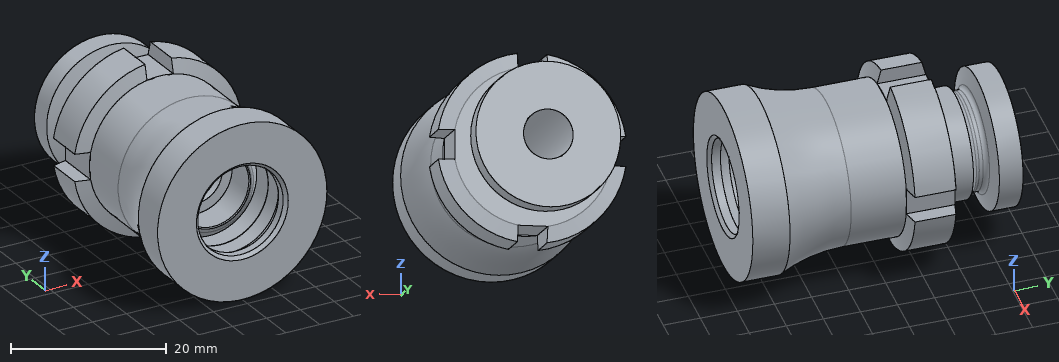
import cadquery as cq
import math

TOTAL_LENGTH = 37.43

BARREL_RADIUS = 12.5
BARREL_LENGTH = 5.0
SLEEVE_RADIUS = 10.45
FLARE_END = 13.92

COLLAR_RADIUS = 12.45
COLLAR_FRONT = 21.4
COLLAR_BACK = 28.0
COLLAR_CHAMFER_LENGTH = 0.52
SLOT_COUNT = 4
SLOT_WIDTH = 3.9
SLOT_FLOOR = 10.25

THROAT_RADIUS = 6.3
MOUTH_CHAMFER = 0.5
THROAT_END = 1.7
RELIEF_FRONT = 3.05
RELIEF_BACK = 5.65
RELIEF_RADIUS = 7.05
SOCKET_RADIUS = 7.0

FLANGE_RADIUS = 9.5
FLANGE_THICKNESS = 3.22
NECK_RADIUS = 7.5
NECK_BACK = 31.35
WAIST_RADIUS = 6.65
WAIST_FRONT = 32.4
WAIST_BACK = 32.95
FLANGE_TAPER_ANGLE = 15.0
WAIST_BACK_FILLET = 0.7
WAIST_FRONT_FILLET = 0.65
NECK_CONE_ANGLE = 45.0

NOSE_FRONT = 7.4
NOSE_CONE_ANGLE = 45.0
NOSE_FILLET = 0.55
NOSE_RIM_RADIUS = 5.55
NOSE_BORE_RADIUS = 5.25
NOSE_BORE_CHAMFER = 0.15
NOSE_BORE_DEPTH = 4.5
THROUGH_RADIUS = 3.25
THROUGH_CHAMFER = 0.52


def turn(outline):
    """Close a (radius, Y) outline and turn it about the Y axis."""
    return outline.close().revolve(360, (0, 0, 0), (0, 1, 0))


def turned_sleeve():
    flare_length = FLARE_END - BARREL_LENGTH
    flare_rise = BARREL_RADIUS - SLEEVE_RADIUS
    flare_radius = (flare_length**2 + flare_rise**2) / (2 * flare_rise)
    half_sweep = math.asin(flare_length / flare_radius) / 2
    flare_middle = (
        SLEEVE_RADIUS + flare_radius * (1 - math.cos(half_sweep)),
        FLARE_END - flare_radius * math.sin(half_sweep),
    )
    outline = (
        cq.Workplane("XY")
        .moveTo(THROAT_RADIUS + MOUTH_CHAMFER, 0)
        .lineTo(BARREL_RADIUS, 0)
        .lineTo(BARREL_RADIUS, BARREL_LENGTH)
        .threePointArc(flare_middle, (SLEEVE_RADIUS, FLARE_END))
        .lineTo(SLEEVE_RADIUS, COLLAR_FRONT)
        .lineTo(COLLAR_RADIUS, COLLAR_FRONT + COLLAR_CHAMFER_LENGTH)
        .lineTo(COLLAR_RADIUS, COLLAR_BACK - COLLAR_CHAMFER_LENGTH)
        .lineTo(SLEEVE_RADIUS, COLLAR_BACK)
        .lineTo(SOCKET_RADIUS, COLLAR_BACK)
        .lineTo(SOCKET_RADIUS, RELIEF_BACK)
        .lineTo(RELIEF_RADIUS, RELIEF_BACK)
        .lineTo(RELIEF_RADIUS, RELIEF_FRONT)
        .lineTo(THROAT_RADIUS, THROAT_END)
        .lineTo(THROAT_RADIUS, MOUTH_CHAMFER)
    )
    return turn(outline)


def collar_slot(angle):
    """Flat-floored slot through the length of the collar."""
    slot_depth = BARREL_RADIUS - SLOT_FLOOR
    return (
        cq.Workplane("XY")
        .box(slot_depth, COLLAR_BACK - COLLAR_FRONT, SLOT_WIDTH, centered=(False, False, True))
        .translate((SLOT_FLOOR, COLLAR_FRONT, 0))
        .rotate((0, 0, 0), (0, 1, 0), angle)
    )


def make_sleeve():
    sleeve = turned_sleeve()
    for index in range(SLOT_COUNT):
        sleeve = sleeve.cut(collar_slot(index * 360 / SLOT_COUNT))
    return sleeve


def make_insert():
    taper = math.radians(FLANGE_TAPER_ANGLE)
    back_turn = math.pi / 2 - taper
    front_turn = math.radians(NECK_CONE_ANGLE)
    nose_turn = math.radians(NOSE_CONE_ANGLE)
    bore_floor = NOSE_FRONT + NOSE_BORE_DEPTH

    def back_fillet(angle):
        return (
            WAIST_RADIUS + WAIST_BACK_FILLET * (1 - math.cos(angle)),
            WAIST_BACK + WAIST_BACK_FILLET * math.sin(angle),
        )

    def front_fillet(angle):
        return (
            WAIST_RADIUS + WAIST_FRONT_FILLET * (1 - math.cos(angle)),
            WAIST_FRONT - WAIST_FRONT_FILLET * math.sin(angle),
        )

    def nose_fillet(angle):
        return (
            NOSE_RIM_RADIUS + NOSE_FILLET * math.sin(angle),
            NOSE_FRONT + NOSE_FILLET * (1 - math.cos(angle)),
        )

    cone_start_radius, cone_start = nose_fillet(nose_turn)
    nose_cone_end = cone_start + (SOCKET_RADIUS - cone_start_radius) * math.tan(nose_turn)

    outline = (
        cq.Workplane("XY")
        .moveTo(NOSE_BORE_RADIUS + NOSE_BORE_CHAMFER, NOSE_FRONT)
        .lineTo(NOSE_RIM_RADIUS, NOSE_FRONT)
        .threePointArc(nose_fillet(nose_turn / 2), nose_fillet(nose_turn))
        .lineTo(SOCKET_RADIUS, nose_cone_end)
        .lineTo(SOCKET_RADIUS, COLLAR_BACK)
        .lineTo(NECK_RADIUS, COLLAR_BACK)
        .lineTo(NECK_RADIUS, NECK_BACK)
        .lineTo(*front_fillet(front_turn))
        .threePointArc(front_fillet(front_turn / 2), (WAIST_RADIUS, WAIST_FRONT))
        .lineTo(WAIST_RADIUS, WAIST_BACK)
        .threePointArc(back_fillet(back_turn / 2), back_fillet(back_turn))
        .lineTo(FLANGE_RADIUS, TOTAL_LENGTH - FLANGE_THICKNESS)
        .lineTo(FLANGE_RADIUS, TOTAL_LENGTH)
        .lineTo(THROUGH_RADIUS, TOTAL_LENGTH)
        .lineTo(THROUGH_RADIUS, bore_floor + THROUGH_CHAMFER)
        .lineTo(THROUGH_RADIUS + THROUGH_CHAMFER, bore_floor)
        .lineTo(NOSE_BORE_RADIUS, bore_floor)
        .lineTo(NOSE_BORE_RADIUS, NOSE_FRONT + NOSE_BORE_CHAMFER)
    )
    return turn(outline)


sleeve = make_sleeve()
flanged_insert = make_insert()

result = cq.Compound.makeCompound([sleeve.val(), flanged_insert.val()])